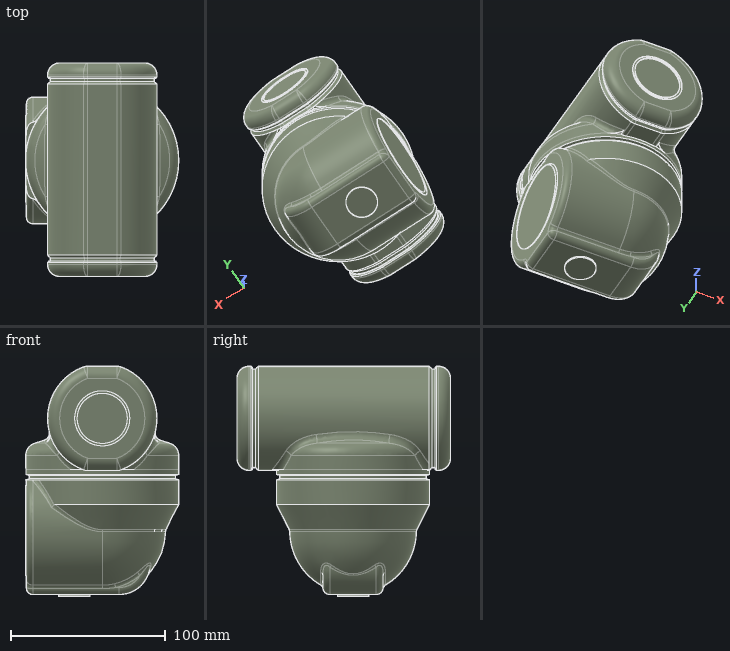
import cadquery as cq
import math


head_length = 138.0
head_radius = 35.4
head_half_height = 33.75
head_corner_radius = 8.0
head_offset_y = -6.0
head_axis_z = 72.5
head_start_y = head_offset_y - head_length / 2
head_end_y = head_offset_y + head_length / 2
cap_round = 7.9
cap_length = 10.0
cap_lip_chamfer = 0.8
cap_groove_depth = 1.8
cap_groove_width = 2.0
body_chamfer = cap_groove_depth - 0.01
body_start_y = head_start_y + cap_length + cap_groove_width
body_end_y = head_end_y - cap_length - cap_groove_width
ring_outer_radius = 17.8
ring_inner_radius = 16.2
ring_depth = 0.6

hub_radius = 98.97 / 2
dome_base_z = 20.0
dome_round_start_z = 48.4
dome_round = 8.5
dome_slope = math.radians(18)
dome_blend = 4.5
plate_top_z = 39.5
groove_top_z = 36.3
groove_bottom_z = 32.8
groove_depth = 2.1
groove_lead_in = 0.7
cone_top_z = 16.8

pipe_radius = 41.0
disc_radius = 29.1
disc_height = 0.4
pipe_end_x = disc_height - hub_radius
pipe_rim_round = 4.4
pipe_blend = 3.0
ledge_height = 0.2
ledge_arc_radius = 31.4
ledge_arc_offset_y = 4.7

foot_bottom_z = -41.4
foot_half_width = 19.5
foot_edge_round = 4.6
foot_blend = 3.0
foot_tail_x = 10.9
foot_tail_radius = 20.0
pad_radius = 10.2
pad_center_x = -18.0
pad_bottom_z = head_axis_z - 115.0


def box_between(low, high):
    """Clipping block between two opposite corners."""
    size = [top - bottom for bottom, top in zip(low, high)]
    return cq.Workplane("XY", origin=low).box(*size, centered=False)


def head_section(inset, y, length):
    """Flattened circle, shrunk by inset, extruded from y towards +Y."""
    half_height = head_half_height - inset
    radius = head_radius - inset
    corner = head_corner_radius - inset
    flat_x = math.sqrt((radius - corner) ** 2 - (half_height - corner) ** 2)
    tangent = radius / (radius - corner)
    side_x = flat_x * tangent
    side_z = (half_height - corner) * tangent
    bisector = (math.pi / 2 + math.atan2(side_z, side_x)) / 2
    mid_x = flat_x + corner * math.cos(bisector)
    mid_z = half_height - corner + corner * math.sin(bisector)
    plane = cq.Plane(origin=(0, y, head_axis_z), xDir=(1, 0, 0), normal=(0, -1, 0))
    return (
        cq.Workplane(plane)
        .moveTo(-flat_x, half_height)
        .lineTo(flat_x, half_height)
        .threePointArc((mid_x, mid_z), (side_x, side_z))
        .threePointArc((radius, 0), (side_x, -side_z))
        .threePointArc((mid_x, -mid_z), (flat_x, -half_height))
        .lineTo(-flat_x, -half_height)
        .threePointArc((-mid_x, -mid_z), (-side_x, -side_z))
        .threePointArc((-radius, 0), (-side_x, side_z))
        .threePointArc((-mid_x, mid_z), (-flat_x, half_height))
        .close()
        .extrude(-length)
    )


def ring_groove(y, depth):
    """Shallow ring cut into an end face of the head."""
    plane = cq.Plane(origin=(0, y, head_axis_z), xDir=(1, 0, 0), normal=(0, -1, 0))
    return cq.Workplane(plane).circle(ring_outer_radius).circle(ring_inner_radius).extrude(depth)


def make_head():
    """Barrel core with a chamfered middle, two rounded caps and ring grooves."""
    body = head_section(0, body_start_y, body_end_y - body_start_y)
    body = body.faces("<Y or >Y").chamfer(body_chamfer)
    core = head_section(cap_groove_depth, head_start_y + cap_length / 2, head_length - cap_length)
    head = core.union(body)
    for cap_start, outer, inner in (
        (head_start_y, "<Y", ">Y"),
        (head_end_y - cap_length, ">Y", "<Y"),
    ):
        cap = head_section(0, cap_start, cap_length)
        cap = cap.faces(outer).edges().fillet(cap_round)
        cap = cap.faces(inner).edges().chamfer(cap_lip_chamfer)
        head = head.union(cap)
    head = head.cut(ring_groove(head_start_y, -ring_depth))
    return head.cut(ring_groove(head_end_y, ring_depth))


def make_dome():
    """Domed top of the swivel hub, reaching well below the head."""
    center_r = hub_radius - dome_round
    turn = math.pi / 2 - dome_slope
    end_r = center_r + dome_round * math.cos(turn)
    end_z = dome_round_start_z + dome_round * math.sin(turn)
    mid_r = center_r + dome_round * math.cos(turn / 2)
    mid_z = dome_round_start_z + dome_round * math.sin(turn / 2)
    return (
        cq.Workplane("XZ")
        .moveTo(0, dome_base_z)
        .lineTo(hub_radius, dome_base_z)
        .lineTo(hub_radius, dome_round_start_z)
        .threePointArc((mid_r, mid_z), (end_r, end_z))
        .lineTo(0, end_z + end_r * math.tan(dome_slope))
        .close()
        .revolve(360, (0, 0, 0), (0, 1, 0))
    )


def make_neck():
    """Dome blended into the barrel, kept between the barrel's two grooves."""
    joined = head_section(0, head_start_y, head_length).union(make_dome())
    blended = joined.edges("%BSPLINE").fillet(dome_blend)
    keep = box_between(
        (-hub_radius, body_start_y + cap_groove_depth, plate_top_z),
        (hub_radius, body_end_y - cap_groove_depth, head_axis_z + head_half_height),
    )
    return blended.intersect(keep)


def make_hub():
    """Plate, parting groove, collar and cone, turned about the swivel axis."""
    groove_radius = hub_radius - groove_depth
    return (
        cq.Workplane("XZ")
        .moveTo(0, plate_top_z)
        .lineTo(hub_radius, plate_top_z)
        .lineTo(hub_radius, groove_top_z)
        .lineTo(groove_radius, groove_top_z - groove_lead_in)
        .lineTo(groove_radius, groove_bottom_z + groove_lead_in)
        .lineTo(hub_radius, groove_bottom_z)
        .lineTo(hub_radius, cone_top_z)
        .lineTo(pipe_radius, 0)
        .lineTo(0, 0)
        .close()
        .revolve(360, (0, 0, 0), (0, 1, 0))
    )


def make_foot():
    """Rounded bar under the pipe whose tail curls up into the elbow."""
    tail_z = foot_bottom_z + foot_tail_radius
    diagonal = foot_tail_radius * math.sqrt(0.5)
    foot = (
        cq.Workplane("XZ")
        .moveTo(pipe_end_x, tail_z)
        .lineTo(pipe_end_x, foot_bottom_z)
        .lineTo(foot_tail_x, foot_bottom_z)
        .threePointArc((foot_tail_x + diagonal, tail_z - diagonal), (foot_tail_x + foot_tail_radius, tail_z))
        .close()
        .extrude(foot_half_width, both=True)
    )
    return foot.faces("<Z").edges("|X").fillet(foot_edge_round)


def make_elbow():
    """Horizontal pipe ending in a ball, with its foot and a rounded rim."""
    pipe = cq.Workplane("YZ").circle(pipe_radius).extrude(pipe_end_x)
    ball = cq.Workplane("XY").sphere(pipe_radius)
    elbow = pipe.union(ball).union(make_foot())
    joint_z = -math.sqrt(pipe_radius**2 - foot_half_width**2)
    near_side = cq.selectors.NearestToPointSelector((pipe_end_x / 2, -foot_half_width, joint_z))
    far_side = cq.selectors.NearestToPointSelector((pipe_end_x / 2, foot_half_width, joint_z))
    elbow = elbow.edges(near_side).add(elbow.edges(far_side)).fillet(foot_blend)
    return elbow.faces("<X").edges().fillet(pipe_rim_round)


def above_groove():
    """Block from the underside of the parting groove to well above the plate."""
    reach = 3 * hub_radius
    return box_between((-reach, -reach, groove_bottom_z), (reach, reach, plate_top_z + pipe_radius))


def make_lower_body():
    """Hub and elbow below the parting groove, blended where they meet."""
    hub = make_hub()
    below = box_between((-hub_radius, -hub_radius, foot_bottom_z), (hub_radius, hub_radius, groove_bottom_z))
    long_pipe = cq.Workplane("YZ").circle(pipe_radius).extrude(-2 * hub_radius)
    ball = cq.Workplane("XY").sphere(pipe_radius)
    core = hub.intersect(below).union(long_pipe.union(ball).cut(above_groove()))
    pipe_joint = cq.selectors.BoxSelector((-hub_radius, -hub_radius, 1), (0, hub_radius, groove_bottom_z - 1))
    ball_joint = cq.selectors.BoxSelector((1, -1, -1), (pipe_radius, 1, 1))
    joints = core.edges("%BSPLINE").edges(pipe_joint).add(core.edges("%CIRCLE").edges(ball_joint))
    core = joints.fillet(pipe_blend)
    rim_x = pipe_end_x + pipe_rim_round
    behind_rim = box_between((rim_x, -hub_radius, foot_bottom_z), (hub_radius, hub_radius, groove_bottom_z))
    elbow = make_elbow().intersect(below)
    return core.intersect(behind_rim).union(elbow).union(hub.intersect(above_groove()))


def make_end_disc():
    """Low round disc on the pipe face with a crescent ledge on its -Y side."""
    face = cq.Workplane("YZ", origin=(pipe_end_x, 0, 0))
    ledge = face.circle(disc_radius).extrude(-ledge_height)
    crest = face.circle(disc_radius).extrude(-disc_height)
    arc_limit = face.center(ledge_arc_offset_y, 0).circle(ledge_arc_radius).extrude(-disc_height)
    return ledge.union(crest.intersect(arc_limit))


def make_pad():
    """Small round pad under the foot."""
    return (
        cq.Workplane("XY", origin=(pad_center_x, 0, pad_bottom_z))
        .circle(pad_radius)
        .extrude(foot_bottom_z - pad_bottom_z)
    )


result = make_head().union(make_neck()).union(make_lower_body()).union(make_end_disc()).union(make_pad())